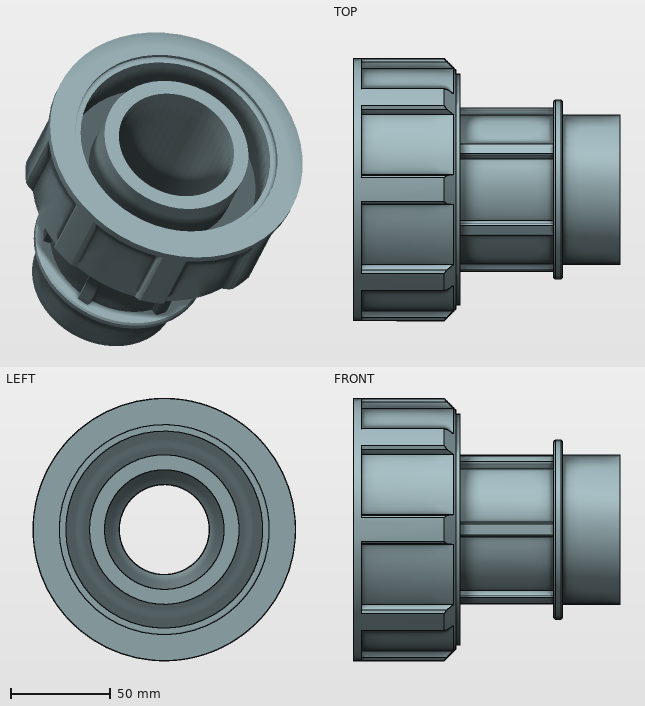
import cadquery as cq
import math

LENGTH = 134.0

NUT_RADIUS = 132.0 / 2
NUT_RIM = 4.0
NUT_LENGTH = 51.5
NUT_CHAMFER = 5.9
NUT_FLOOR_RADIUS = 61.4
NUT_END_RING_RADIUS = 116.2 / 2
NUT_END_RING_END = 53.6

GRIP_COUNT = 8
GRIP_TOP_HALF_WIDTH = 6.0
GRIP_SHOULDER_HALF_WIDTH = 7.1
GRIP_SHOULDER_HEIGHT = 64.2
GRIP_BASE_HALF_WIDTH = 7.5

MOUTH_RADIUS = 105.6 / 2
MOUTH_DEPTH = 2.0
CAVITY_RADIUS = 99.0 / 2
CAVITY_DEPTH = 29.1

TUBE_RADIUS = 75.2 / 2
INLET_BORE_RADIUS = 60.2 / 2
OUTLET_BORE_RADIUS = 45.2 / 2

COLLAR_START = 100.5
COLLAR_END = 105.2
COLLAR_RADIUS = 90.2 / 2
COLLAR_CHAMFER = 1.0

BORE_CONE_HALF_ANGLE = 60.0
BORE_CONE_LENGTH = (INLET_BORE_RADIUS - OUTLET_BORE_RADIUS) / math.tan(math.radians(BORE_CONE_HALF_ANGLE))
BORE_CONE_END = COLLAR_START
BORE_CONE_START = BORE_CONE_END - BORE_CONE_LENGTH

NECK_RIB_COUNT = 6
NECK_RIB_HEIGHT = 41.1
NECK_RIB_SHOULDER_HEIGHT = 40.0
NECK_RIB_TOP_HALF_WIDTH = 2.8
NECK_RIB_SHOULDER_HALF_WIDTH = 3.4
NECK_RIB_BASE_HALF_WIDTH = 3.8


def cylinder(start, end, radius):
    """Solid cylinder on the X axis."""
    return cq.Workplane("YZ", origin=(start, 0, 0)).circle(radius).extrude(end - start)


def distance_to_chord(radius, half_width):
    """Distance from the axis to a chord of the given half width in a circle."""
    return math.sqrt(radius**2 - half_width**2)


def radial_ribs(count, start, end, half_profile):
    """Equally spaced bars along X, the first one on +Y; half_profile lists (radius, half width)."""
    mirrored = [(height, -width) for height, width in reversed(half_profile)]
    bar = (
        cq.Workplane("YZ", origin=(start, 0, 0))
        .polyline(half_profile + mirrored)
        .close()
        .extrude(end - start)
    )
    ribs = cq.Workplane("YZ")
    for index in range(count):
        ribs = ribs.add(bar.rotate((0, 0, 0), (1, 0, 0), index * 360 / count))
    return ribs.combine()


def make_nut():
    envelope = cylinder(0, NUT_LENGTH, NUT_RADIUS).faces(">X").chamfer(NUT_CHAMFER)
    grips = radial_ribs(
        GRIP_COUNT,
        NUT_RIM,
        NUT_LENGTH,
        [
            (CAVITY_RADIUS, GRIP_BASE_HALF_WIDTH),
            (distance_to_chord(NUT_FLOOR_RADIUS, GRIP_BASE_HALF_WIDTH), GRIP_BASE_HALF_WIDTH),
            (GRIP_SHOULDER_HEIGHT, GRIP_SHOULDER_HALF_WIDTH),
            (distance_to_chord(NUT_RADIUS, GRIP_TOP_HALF_WIDTH), GRIP_TOP_HALF_WIDTH),
            (NUT_RADIUS, GRIP_TOP_HALF_WIDTH),
        ],
    )
    rim = cylinder(0, NUT_RIM, NUT_RADIUS)
    body = cylinder(0, NUT_LENGTH, NUT_FLOOR_RADIUS)
    nut = rim.union(body).union(grips).intersect(envelope)
    nut = nut.union(cylinder(0, NUT_END_RING_END, NUT_END_RING_RADIUS))
    nut = nut.cut(cylinder(0, MOUTH_DEPTH, MOUTH_RADIUS))
    return nut.cut(cylinder(0, CAVITY_DEPTH, CAVITY_RADIUS))


def make_collar():
    return cylinder(COLLAR_START, COLLAR_END, COLLAR_RADIUS).edges().chamfer(COLLAR_CHAMFER)


def make_neck_ribs():
    return radial_ribs(
        NECK_RIB_COUNT,
        NUT_LENGTH,
        COLLAR_START,
        [
            (INLET_BORE_RADIUS, NECK_RIB_BASE_HALF_WIDTH),
            (distance_to_chord(TUBE_RADIUS, NECK_RIB_BASE_HALF_WIDTH), NECK_RIB_BASE_HALF_WIDTH),
            (NECK_RIB_SHOULDER_HEIGHT, NECK_RIB_SHOULDER_HALF_WIDTH),
            (NECK_RIB_HEIGHT, NECK_RIB_TOP_HALF_WIDTH),
        ],
    )


def make_bore():
    """Stepped bore: wide inlet, cone, narrow outlet."""
    return (
        cq.Workplane("XY")
        .polyline(
            [
                (0, 0),
                (0, INLET_BORE_RADIUS),
                (BORE_CONE_START, INLET_BORE_RADIUS),
                (BORE_CONE_END, OUTLET_BORE_RADIUS),
                (LENGTH, OUTLET_BORE_RADIUS),
                (LENGTH, 0),
            ]
        )
        .close()
        .revolve(360, (0, 0, 0), (1, 0, 0))
    )


result = (
    make_nut()
    .union(cylinder(0, LENGTH, TUBE_RADIUS))
    .union(make_collar())
    .union(make_neck_ribs())
    .cut(make_bore())
)